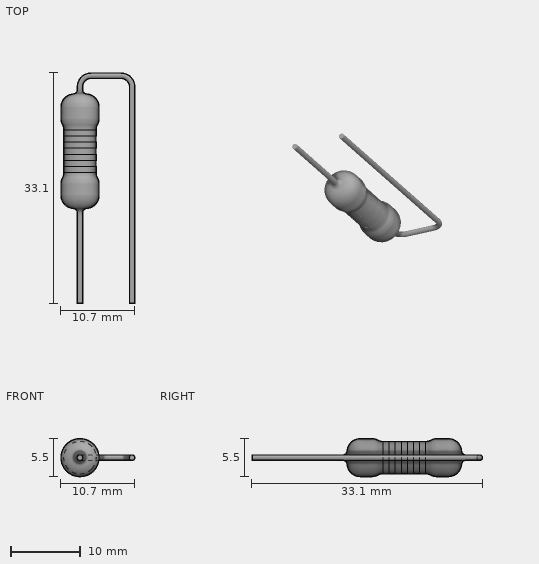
import cadquery as cq
import math

LEAD_DIAMETER = 0.8
LEAD_PITCH = 7.5
BEND_RADIUS = 1.6
BEND_TO_NECK = 0.4
OVERALL_LENGTH = 33.1

CAP_DIAMETER = 5.5
WAIST_DIAMETER = 4.67
BAND_DIAMETER = 4.7
DOME_RADIUS = 1.92
NECK_RADIUS = 0.6
CAP_STRAIGHT = 1.68
SHOULDER_LENGTH = 1.6
WAIST_LENGTH = 6.1
BAND_COUNT = 4

lead_radius = LEAD_DIAMETER / 2
cap_radius = CAP_DIAMETER / 2
waist_radius = WAIST_DIAMETER / 2
band_radius = BAND_DIAMETER / 2
band_width = WAIST_LENGTH / (2 * BAND_COUNT - 1)

dome_centre_radius = cap_radius - DOME_RADIUS
neck_centre_radius = lead_radius + NECK_RADIUS
dome_to_neck = DOME_RADIUS + NECK_RADIUS
neck_angle = math.acos((neck_centre_radius - dome_centre_radius) / dome_to_neck)
neck_height = dome_to_neck * math.sin(neck_angle)

body_half_length = WAIST_LENGTH / 2 + SHOULDER_LENGTH + CAP_STRAIGHT + neck_height

wire_top = OVERALL_LENGTH - lead_radius
bend_start = wire_top - BEND_RADIUS
body_centre = bend_start - BEND_TO_NECK - body_half_length


def arc_point(centre, radius, angle):
    """Point on a circle, with the angle in radians from the +X direction."""
    return (centre[0] + radius * math.cos(angle), centre[1] + radius * math.sin(angle))


def make_end_cap():
    """End of the body, from the waist (Y = WAIST_LENGTH / 2) out to the tip of the neck fillet."""
    shoulder_start = WAIST_LENGTH / 2
    cap_start = shoulder_start + SHOULDER_LENGTH
    dome_start = cap_start + CAP_STRAIGHT

    middle_radius = (waist_radius + cap_radius) / 2
    arc_rise = middle_radius - waist_radius
    arc_run = SHOULDER_LENGTH / 2
    shoulder_middle = shoulder_start + arc_run
    shoulder_arc_radius = (arc_rise**2 + arc_run**2) / (2 * arc_rise)
    shoulder_arc_angle = math.asin(arc_run / shoulder_arc_radius)
    shoulder_centre = (waist_radius + shoulder_arc_radius, shoulder_start)
    shoulder_hollow = arc_point(shoulder_centre, shoulder_arc_radius, math.pi - shoulder_arc_angle / 2)

    dome_centre = (dome_centre_radius, dome_start)
    neck_centre = (neck_centre_radius, dome_start + neck_height)
    neck_base = arc_point(dome_centre, DOME_RADIUS, neck_angle)
    dome_middle = arc_point(dome_centre, DOME_RADIUS, neck_angle / 2)
    neck_middle = arc_point(neck_centre, NECK_RADIUS, math.pi + neck_angle / 2)
    neck_tip = (lead_radius, neck_centre[1])

    return (
        cq.Workplane("XY")
        .moveTo(0, shoulder_start)
        .lineTo(waist_radius, shoulder_start)
        .threePointArc(shoulder_hollow, (middle_radius, shoulder_middle))
        .tangentArcPoint((cap_radius, cap_start), relative=False)
        .lineTo(cap_radius, dome_start)
        .threePointArc(dome_middle, neck_base)
        .threePointArc(neck_middle, neck_tip)
        .lineTo(0, neck_tip[1])
        .close()
        .revolve(360, (0, 0, 0), (0, 1, 0))
    )


def make_cylinder(radius, start, length):
    """Cylinder on the Y axis that runs toward +Y from the given start."""
    return cq.Workplane("XZ", origin=(0, start, 0)).circle(radius).extrude(-length)


def make_body():
    """Waisted body with two equal ends and raised colour bands."""
    end_cap = make_end_cap()
    waist_start = -WAIST_LENGTH / 2
    body = make_cylinder(waist_radius, waist_start, WAIST_LENGTH)
    body = body.union(end_cap).union(end_cap.mirror("XZ"))
    for index in range(BAND_COUNT):
        band_start = waist_start + 2 * index * band_width
        body = body.union(make_cylinder(band_radius, band_start, band_width))
    return body.translate((0, body_centre, 0))


def make_wire():
    """One wire through the body, bent over the far end and back alongside it."""
    path = (
        cq.Workplane("XY")
        .lineTo(0, bend_start)
        .tangentArcPoint((BEND_RADIUS, wire_top), relative=False)
        .lineTo(LEAD_PITCH - BEND_RADIUS, wire_top)
        .tangentArcPoint((LEAD_PITCH, bend_start), relative=False)
        .lineTo(LEAD_PITCH, 0)
    )
    return cq.Workplane("XZ").circle(lead_radius).sweep(path)


result = make_body().union(make_wire())